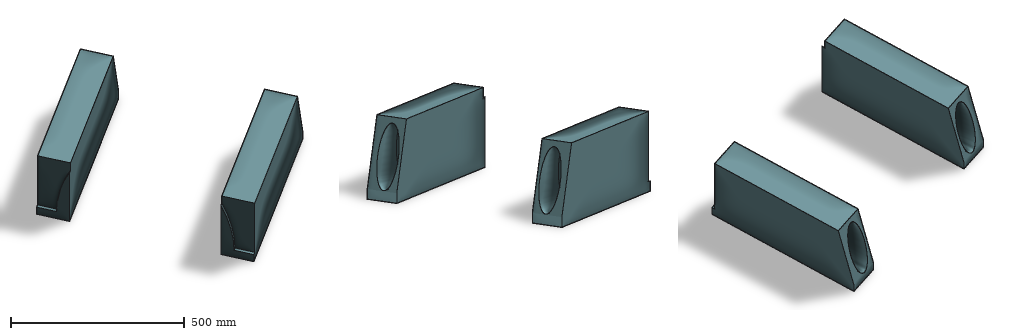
import cadquery as cq
import math

span = 653.5
depth = 500.0
height = 240.0
cabinet_width = 99.5

border_thickness = 10.0
base_height = 30.0
flank_foot_width = 40.0
flank_top = height - base_height

slope_run = 55.0
slope_rise = height - base_height

port_width = 69.0
port_plan_length = 49.5
port_rim_gap = 0.5
port_inset = 5.0
port_depth = 131.0


def main_block():
    """Cabinet block with a sloping back, its outer side on X = 0."""
    return (
        cq.Workplane("YZ")
        .moveTo(border_thickness, 0)
        .lineTo(depth, 0)
        .lineTo(depth, base_height)
        .lineTo(depth - slope_run, height)
        .lineTo(border_thickness, height)
        .close()
        .extrude(cabinet_width)
    )


def front_border():
    """Base strip and flank; the flank edge is an arc that leaves the base vertically."""
    foot_x = cabinet_width - flank_foot_width
    arc_rise = flank_top - base_height
    arc_radius = (flank_foot_width**2 + arc_rise**2) / (2 * flank_foot_width)
    half_sweep = math.asin(arc_rise / arc_radius) / 2
    arc_middle = (
        foot_x + arc_radius * (1 - math.cos(half_sweep)),
        base_height + arc_radius * math.sin(half_sweep),
    )
    return (
        cq.Workplane("XZ")
        .lineTo(0, base_height)
        .lineTo(foot_x, base_height)
        .threePointArc(arc_middle, (cabinet_width, flank_top))
        .lineTo(cabinet_width, 0)
        .close()
        .extrude(-border_thickness)
    )


def port_cutter():
    """Level elliptical plug running forwards from the rear of the cabinet."""
    centre_z = base_height + (port_rim_gap + port_plan_length / 2) * slope_rise / slope_run
    port_height = port_plan_length * slope_rise / slope_run
    return (
        cq.Workplane("XZ", origin=(cabinet_width / 2 + port_inset, depth, centre_z))
        .ellipse(port_width / 2, port_height / 2)
        .extrude(port_depth)
    )


def make_cabinet():
    """Left cabinet, its outer side on X = 0."""
    return main_block().union(front_border()).cut(port_cutter())


left_cabinet = make_cabinet()
right_cabinet = left_cabinet.mirror("YZ", (span / 2, 0, 0))

result = cq.Compound.makeCompound([left_cabinet.val(), right_cabinet.val()])